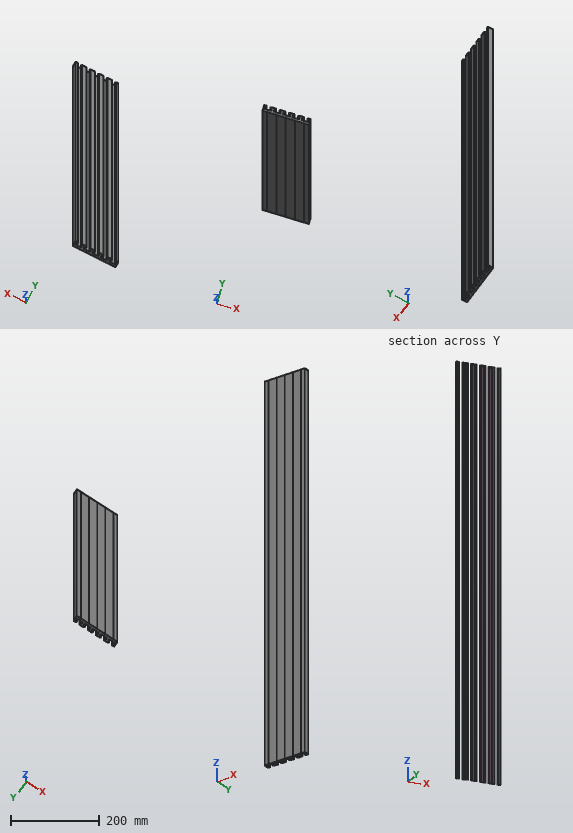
import cadquery as cq

length = 1000.0
width = 110.0
thickness = 14.0

slot_count = 5
slot_pitch = width / slot_count
mouth_width = 8.0
mouth_chamfer = 1.5
cavity_width = 16.0
floor_thickness = 5.8
lip_thickness = 4.0

groove_width = 1.0
groove_depth = 0.3

slot_centers = [(i - (slot_count - 1) / 2) * slot_pitch for i in range(slot_count)]


def extrude_outline(points):
    """Full-length bar with the given closed XY outline."""
    return cq.Workplane("XY").polyline(points).close().extrude(length)


def undercut_slot(x_center):
    """T-shaped slot with a chamfered mouth through the +Y face."""
    half_mouth = mouth_width / 2
    half_cavity = cavity_width / 2
    cavity_roof = thickness - lip_thickness
    right_side = [
        (half_cavity, floor_thickness),
        (half_cavity, cavity_roof),
        (half_mouth, cavity_roof),
        (half_mouth, thickness - mouth_chamfer),
        (half_mouth + mouth_chamfer, thickness),
    ]
    left_side = [(-x, y) for x, y in reversed(right_side)]
    return extrude_outline([(x_center + x, y) for x, y in right_side + left_side])


def v_groove(x_center):
    """Shallow V cut into the -Y face."""
    half_width = groove_width / 2
    return extrude_outline(
        [(x_center - half_width, 0), (x_center, groove_depth), (x_center + half_width, 0)]
    )


plate = cq.Workplane("XY").rect(width, thickness).extrude(length).translate((0, thickness / 2, 0))

result = plate
for center in slot_centers:
    result = result.cut(undercut_slot(center)).cut(v_groove(center))